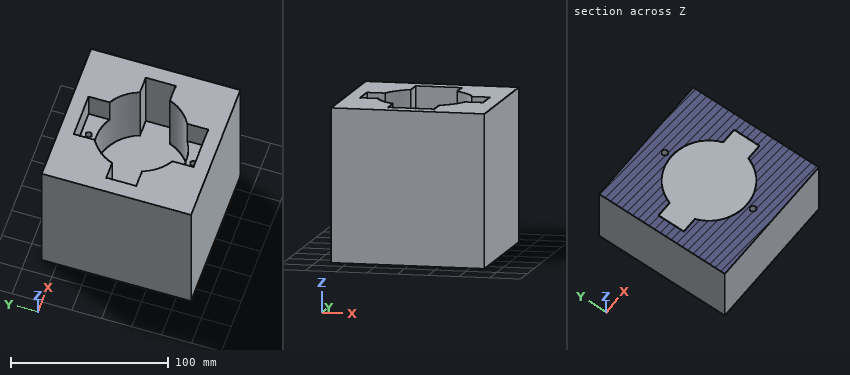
import cadquery as cq

block_size = 100.0

wall_thickness = 10.0
bore_diameter = 60.0
slot_width = 20.0

ledge_width = 30.0
ledge_depth = 20.0

screw_hole_diameter = 4.0

cavity_span = block_size - 2 * wall_thickness
cavity_depth = block_size / 2
screw_hole_offset = (bore_diameter / 2 + cavity_span / 2) / 2


def top_plane():
    """Work plane on the top face of the block, centred on its axis."""
    return cq.Workplane("XY", origin=(0, 0, block_size))


def make_block():
    return cq.Workplane("XY").box(block_size, block_size, block_size, centered=(True, True, False))


def make_bore():
    return top_plane().circle(bore_diameter / 2).extrude(-cavity_depth)


def make_side_slot():
    return top_plane().rect(cavity_span, slot_width).extrude(-cavity_depth)


def make_ledge_pocket():
    return top_plane().rect(ledge_width, cavity_span).extrude(-ledge_depth)


def make_screw_holes():
    centres = [(0, -screw_hole_offset), (0, screw_hole_offset)]
    return top_plane().pushPoints(centres).circle(screw_hole_diameter / 2).extrude(-block_size)


result = (
    make_block()
    .cut(make_bore())
    .cut(make_side_slot())
    .cut(make_ledge_pocket())
    .cut(make_screw_holes())
)